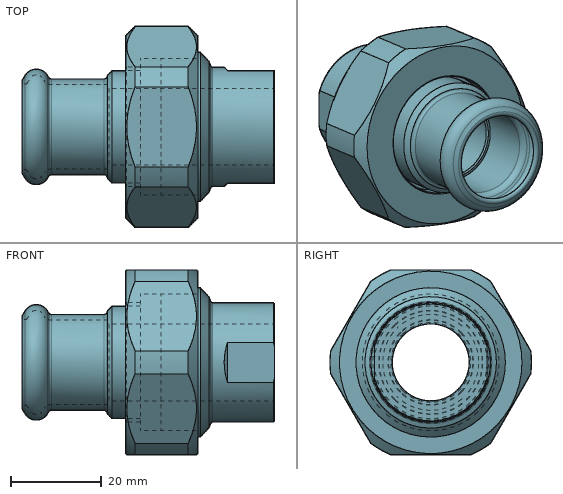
import cadquery as cq
import math


total_length = 56.0
nut_start = 22.95
nut_end = 39.0
nut_lip_thickness = 3.35
joint_x = 30.8
nut_seat_x = nut_start + nut_lip_thickness

bore_radius = 17.0 / 2
thread_radius = 30.3 / 2

pipe_radius = 21.3 / 2
socket_radius = 18.7 / 2
wall = pipe_radius - socket_radius
bead_center_x = 3.2
bead_top_radius = 12.8
bead_arc_radius = 2.9
bead_flank_angle = math.radians(58)
bead_root_radius = 0.6
collar_radius = 25.0 / 2
collar_start = 18.9
collar_chamfer = 1.05
stop_chamfer = 0.35
collar_fillet = collar_radius - collar_chamfer - pipe_radius

across_flats = 41.0
corner_radius = 44.7 / 2
nut_chamfer = 2.1
nut_hole_radius = 26.5 / 2
nut_hole_chamfer = 0.2

tail_radius = 26.5 / 2
tail_flange_radius = 33.1 / 2
tail_flange_width = 0.55
tail_cone_end = (41.45, 14.55)
tail_step_end = (41.9, 13.55)
tail_barrel_start = 42.3
tail_end_chamfer = 0.3
flat_offset = 25.0 / 2
flat_start = 45.6


def revolve_about_x(outline):
    """Full turn of a closed (x, radius) outline about the X axis."""
    return outline.close().revolve(360, (0, 0, 0), (1, 0, 0))


def polar_point(center, radius, angle):
    """Point at an angle measured from +X toward larger radius."""
    return (center[0] + radius * math.cos(angle), center[1] + radius * math.sin(angle))


def make_press_body():
    top = math.pi / 2
    front_angle = top + bead_flank_angle
    rear_angle = top - bead_flank_angle
    bead_center = (bead_center_x, bead_top_radius - bead_arc_radius)
    groove_arc_radius = bead_arc_radius - wall

    lip_radius = wall / 2
    front_slope = math.tan(bead_flank_angle)
    bead_mid_wall = polar_point(bead_center, bead_arc_radius - lip_radius, front_angle)
    lip_center = (lip_radius, bead_mid_wall[1] - (bead_mid_wall[0] - lip_radius) * front_slope)
    lip_outer = polar_point(lip_center, lip_radius, front_angle)
    lip_tip = polar_point(lip_center, lip_radius, front_angle + top)
    lip_inner = polar_point(lip_center, lip_radius, front_angle + math.pi)

    bead_rear = polar_point(bead_center, bead_arc_radius, rear_angle)
    root_center_radius = pipe_radius + bead_root_radius
    root_drop = bead_rear[1] - (root_center_radius - bead_root_radius * math.sin(rear_angle))
    root_center_x = (
        bead_rear[0] + root_drop / math.tan(bead_flank_angle) + bead_root_radius * math.cos(rear_angle)
    )
    root_center = (root_center_x, root_center_radius)
    root_angles = [-top, -top - bead_flank_angle / 2, -top - bead_flank_angle]
    outer_root = [polar_point(root_center, bead_root_radius, angle) for angle in root_angles]
    inner_root = [polar_point(root_center, bead_root_radius + wall, angle) for angle in root_angles]

    fillet_center = (collar_start - collar_fillet, pipe_radius + collar_fillet)
    outline = (
        cq.Workplane("XY")
        .moveTo(*lip_inner)
        .threePointArc(lip_tip, lip_outer)
        .lineTo(*polar_point(bead_center, bead_arc_radius, front_angle))
        .threePointArc((bead_center_x, bead_top_radius), bead_rear)
        .lineTo(*outer_root[2])
        .threePointArc(outer_root[1], outer_root[0])
        .lineTo(fillet_center[0], pipe_radius)
        .threePointArc(
            polar_point(fillet_center, collar_fillet, -top / 2), (collar_start, fillet_center[1])
        )
        .lineTo(collar_start + collar_chamfer, collar_radius)
        .lineTo(nut_seat_x, collar_radius)
        .lineTo(nut_seat_x, thread_radius)
        .lineTo(joint_x, thread_radius)
        .lineTo(joint_x, bore_radius)
        .lineTo(collar_start + stop_chamfer, bore_radius)
        .lineTo(collar_start, bore_radius + stop_chamfer)
        .lineTo(collar_start, socket_radius)
        .lineTo(*inner_root[0])
        .threePointArc(inner_root[1], inner_root[2])
        .lineTo(*polar_point(bead_center, groove_arc_radius, rear_angle))
        .threePointArc(
            polar_point(bead_center, groove_arc_radius, top),
            polar_point(bead_center, groove_arc_radius, front_angle),
        )
    )
    return revolve_about_x(outline)


def make_nut():
    length = nut_end - nut_start
    hexagon = (
        cq.Workplane("YZ", origin=(nut_start, 0, 0))
        .polygon(6, across_flats / math.cos(math.pi / 6))
        .extrude(length)
    )
    rounded_corners = (
        cq.Workplane("YZ", origin=(nut_start, 0, 0))
        .circle(corner_radius)
        .extrude(length)
        .faces("<X or >X")
        .chamfer(nut_chamfer)
    )
    opening = revolve_about_x(
        cq.Workplane("XY")
        .moveTo(nut_start, 0)
        .lineTo(nut_start, nut_hole_radius + nut_hole_chamfer)
        .lineTo(nut_start + nut_hole_chamfer, nut_hole_radius)
        .lineTo(nut_seat_x, nut_hole_radius)
        .lineTo(nut_seat_x, thread_radius)
        .lineTo(nut_end, thread_radius)
        .lineTo(nut_end, 0)
    )
    return hexagon.intersect(rounded_corners).cut(opening)


def make_tail():
    turned = revolve_about_x(
        cq.Workplane("XY")
        .moveTo(joint_x, bore_radius)
        .lineTo(joint_x, thread_radius)
        .lineTo(nut_end, thread_radius)
        .lineTo(nut_end, tail_flange_radius)
        .lineTo(nut_end + tail_flange_width, tail_flange_radius)
        .lineTo(*tail_cone_end)
        .lineTo(*tail_step_end)
        .tangentArcPoint((tail_barrel_start, tail_radius), relative=False)
        .lineTo(total_length - tail_end_chamfer, tail_radius)
        .lineTo(total_length, tail_radius - tail_end_chamfer)
        .lineTo(total_length, bore_radius)
    )
    flat_depth = tail_radius - flat_offset
    for side in (-1, 1):
        flat_cut = (
            cq.Workplane("XY", origin=(0, 0, -tail_radius))
            .moveTo(flat_start, side * flat_offset)
            .lineTo(total_length, side * flat_offset)
            .lineTo(total_length, side * tail_radius)
            .lineTo(flat_start - flat_depth, side * tail_radius)
            .close()
            .extrude(2 * tail_radius)
        )
        turned = turned.cut(flat_cut)
    return turned


press_body = make_press_body()
nut = make_nut()
tail = make_tail()
result = cq.Compound.makeCompound([press_body.val(), nut.val(), tail.val()])